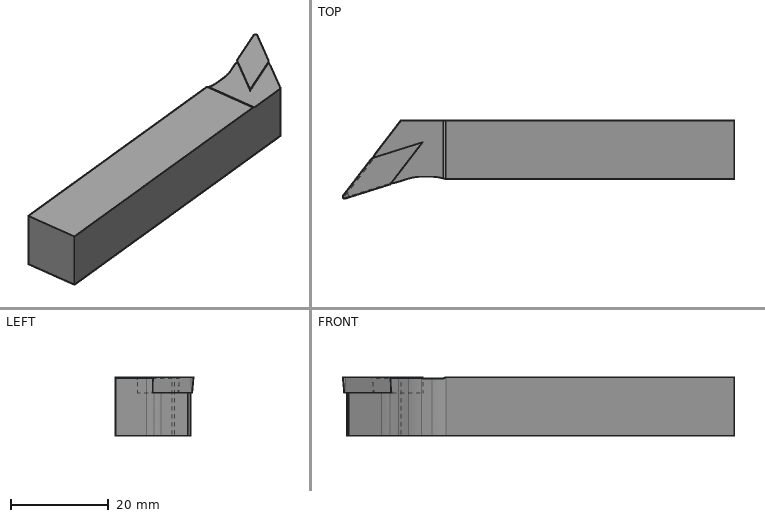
import cadquery as cq
import math

overall_length = 80.0
bar_size = 12.0
shank_start = 21.0
head_drop = 0.2
ramp_length = 0.5

front_angle = 17.5
nose_angle = 35.0
nose_radius = 0.4
tip_y = -4.0
insert_side = 10.9
insert_thickness = 3.2
clearance_angle = 5.0

wall_inset = 0.3
blend_half_length = 1.8
tip_flat_distance = 2.2
relief_start = 13.4
relief_radius = 8.8
relief_flat_end = 18.2


def direction(angle):
    return cq.Vector(math.cos(math.radians(angle)), math.sin(math.radians(angle)))


def xy(point):
    return (point.x, point.y)


half_nose = math.radians(nose_angle / 2)
front = direction(front_angle)
back = direction(front_angle + nose_angle)
bisector = direction(front_angle + nose_angle / 2)
front_inward = direction(front_angle + 90)
back_inward = direction(front_angle + nose_angle - 90)

nose_centre = cq.Vector(nose_radius, tip_y + nose_radius)
sharp_tip = nose_centre - bisector * (nose_radius / math.sin(half_nose))
front_corner = sharp_tip + front * insert_side
back_corner = sharp_tip + back * insert_side


def rhombus_prism(side, taper):
    """Rhombus with a rounded nose, extruded down from the top face of the bar."""
    tangent_length = nose_radius / math.tan(half_nose)
    front_tangent = sharp_tip + front * tangent_length
    back_tangent = sharp_tip + back * tangent_length
    return (
        cq.Workplane("XY", origin=(0, 0, bar_size))
        .moveTo(*xy(front_tangent))
        .lineTo(*xy(sharp_tip + front * side))
        .lineTo(*xy(sharp_tip + (front + back) * side))
        .lineTo(*xy(sharp_tip + back * side))
        .lineTo(*xy(back_tangent))
        .threePointArc(xy(nose_centre - bisector * nose_radius), xy(front_tangent))
        .close()
        .extrude(-insert_thickness, taper=taper)
    )


def make_pocket():
    """Upright-sided seat for the insert, open along the front and back walls of the head."""
    return rhombus_prism(insert_side, 0)


def make_insert():
    """Insert with clearance on the nose and its two edges, and upright sides in the pocket."""
    tapered = rhombus_prism(2 * insert_side, clearance_angle)
    return tapered.intersect(make_pocket())


def blend_points(corner, along, inward):
    """Start, middle and end of an S blend from the inset wall out to the insert edge line."""
    return (
        corner - along * blend_half_length + inward * wall_inset,
        corner + inward * (wall_inset / 2),
        corner + along * blend_half_length,
    )


def make_holder_blank():
    """Bar and head as one outline, before the step and the insert pocket are cut."""
    front_inner, front_middle, front_outer = blend_points(front_corner, front, front_inward)
    back_inner, back_middle, back_outer = blend_points(back_corner, back, back_inward)

    tip_centre = sharp_tip + bisector * tip_flat_distance
    flat_half = tip_flat_distance * math.tan(half_nose) - wall_inset / math.cos(half_nose)
    flat_direction = direction(front_angle + nose_angle / 2 + 90)
    tip_front = tip_centre - flat_direction * flat_half
    tip_back = tip_centre + flat_direction * flat_half

    slope = math.radians(front_angle)
    relief_start_y = sharp_tip.y + (relief_start - sharp_tip.x) * math.tan(slope)
    relief_y = relief_start_y + relief_radius * (1 - math.cos(slope))
    relief_flat_start = relief_start + relief_radius * math.sin(slope)

    rear_x = sharp_tip.x + (bar_size - sharp_tip.y) * back.x / back.y

    return (
        cq.Workplane("XY")
        .moveTo(*xy(tip_front))
        .lineTo(*xy(front_inner))
        .tangentArcPoint(xy(front_middle), relative=False)
        .tangentArcPoint(xy(front_outer), relative=False)
        .lineTo(relief_start, relief_start_y)
        .tangentArcPoint((relief_flat_start, relief_y), relative=False)
        .lineTo(relief_flat_end, relief_y)
        .tangentArcPoint((shank_start, 0), relative=False)
        .lineTo(overall_length, 0)
        .lineTo(overall_length, bar_size)
        .lineTo(rear_x, bar_size)
        .lineTo(*xy(back_outer))
        .tangentArcPoint(xy(back_middle), relative=False)
        .tangentArcPoint(xy(back_inner), relative=False)
        .lineTo(*xy(tip_back))
        .close()
        .extrude(bar_size)
    )


def make_head_step():
    """Thin layer removed from the top of the head, ending in a ramp up to the bar."""
    head_top = bar_size - head_drop
    return (
        cq.Workplane("XZ")
        .moveTo(0, bar_size)
        .lineTo(0, head_top)
        .lineTo(shank_start - ramp_length, head_top)
        .lineTo(shank_start, bar_size)
        .close()
        .extrude(overall_length, both=True)
    )


insert = make_insert()
holder = make_holder_blank().cut(make_head_step()).cut(make_pocket())

result = cq.Compound.makeCompound([holder.val(), insert.val()])